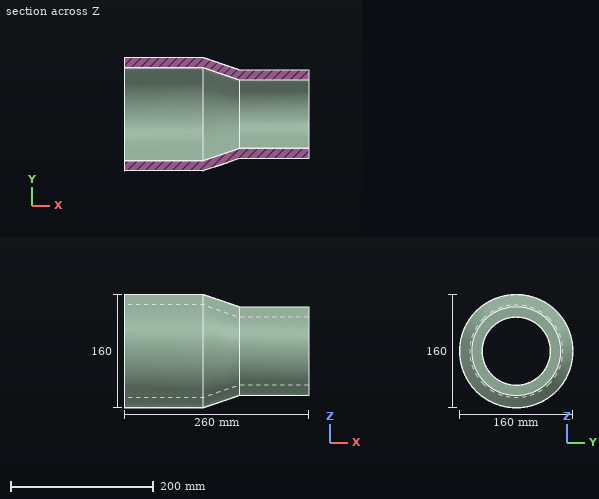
import cadquery as cq

total_length = 260.0
large_length = 110.8
taper_length = 51.2
large_outer_diameter = 160.0
large_bore_diameter = 130.8
small_outer_diameter = 125.0
small_bore_diameter = 95.7

taper_end = large_length + taper_length


def reducer_solid(large_diameter, small_diameter):
    """Solid of revolution: large cylinder, cone, small cylinder."""
    large_radius = large_diameter / 2
    small_radius = small_diameter / 2
    return (
        cq.Workplane("XY")
        .polyline([
            (0, 0),
            (0, large_radius),
            (large_length, large_radius),
            (taper_end, small_radius),
            (total_length, small_radius),
            (total_length, 0),
        ])
        .close()
        .revolve(360, (0, 0, 0), (1, 0, 0))
    )


outer_body = reducer_solid(large_outer_diameter, small_outer_diameter)
bore = reducer_solid(large_bore_diameter, small_bore_diameter)
result = outer_body.cut(bore)